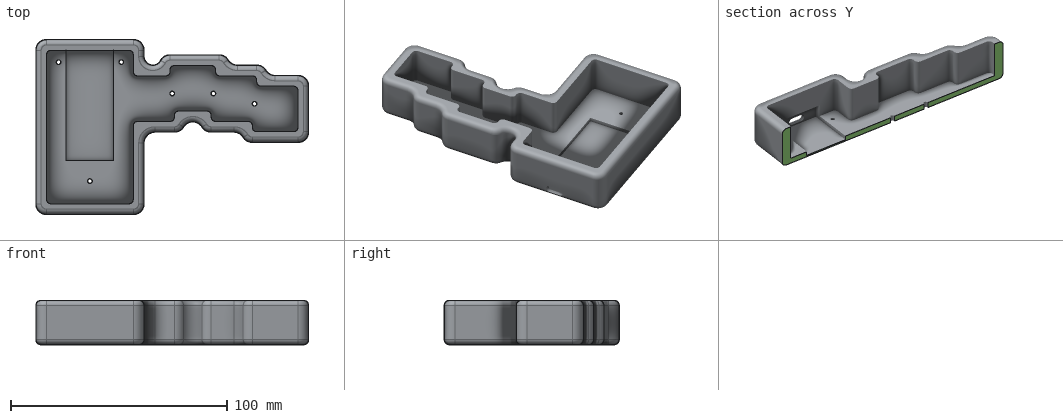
import cadquery as cq
import math

height = 20.6
wall = 5.0
floor_thickness = 3.0
edge_radius = 2.5
outer_radius = 5.0
cavity_radius = 2.0

body_width = 50.1
body_length = 81.0

pitch = 19.05
stagger = pitch / 4
clearance = 1.0
column_x = [63.1 + pitch * i for i in range(3)]
bay_bottom = 43.1
bay_top = bay_bottom + pitch + 2 * clearance
bay_middle = (bay_bottom + bay_top) / 2
total_length = column_x[2] + pitch + clearance + wall
grip_bottom = bay_bottom - wall
grip_top = bay_top + wall
raised_step_x = 84.75

hole_diameter = 2.0
body_hole_spacing = 29.0
back_hole_y = 70.5
front_hole_y = 15.5
body_middle = body_width / 2
body_holes = [
    (body_middle - body_hole_spacing / 2, back_hole_y),
    (body_middle + body_hole_spacing / 2, back_hole_y),
    (body_middle, front_hole_y),
]
grip_holes = [
    (column_x[0], bay_middle + stagger / 2),
    (column_x[1], bay_middle + stagger / 2),
    (column_x[2], bay_middle - stagger / 2),
]

board_width = 22.0
board_start = 25.0
board_floor = 1.0
notch_depth = 3.0
notch_top = 9.0
slot_length = 8.5
slot_height = 3.5
slot_z = 3.6

curve_rise = 2 * outer_radius - stagger
curve_run = math.sqrt((2 * outer_radius) ** 2 - curve_rise ** 2)


def s_curve(outline, start, run, rise):
    """Two equal tangent arcs from the start point, where the outline runs along X."""
    x, y = start
    return (
        outline
        .tangentArcPoint((x + run / 2, y + rise / 2), relative=False)
        .tangentArcPoint((x + run, y + rise), relative=False)
    )


def corner(outline, x, y, start, end):
    """Straight run up to the sharp corner (x, y), rounded there.

    start and end are unit directions from the corner to the two ends of the arc.
    """
    return (
        outline
        .lineTo(x + outer_radius * start[0], y + outer_radius * start[1])
        .tangentArcPoint((x + outer_radius * end[0], y + outer_radius * end[1]), relative=False)
    )


def thumb_hollow(outline):
    """Hollow between the body and the raised column, then the shoulder of that column."""
    shoulder_x = column_x[0] - clearance
    shoulder_y = bay_top + stagger
    dx = shoulder_x - body_width
    dy = shoulder_y - grip_top
    half_sum = dx + dy + outer_radius
    radius = half_sum - math.sqrt(half_sum ** 2 - (dx ** 2 + dy ** 2 - outer_radius ** 2))
    hollow_x = body_width + radius
    hollow_y = grip_top + radius
    share = radius / (radius + outer_radius)
    join = (
        hollow_x + share * (shoulder_x - hollow_x),
        hollow_y + share * (shoulder_y - hollow_y),
    )
    return (
        outline
        .lineTo(body_width, hollow_y)
        .tangentArcPoint((hollow_x, grip_top), relative=False)
        .tangentArcPoint(join, relative=False)
        .tangentArcPoint((shoulder_x, shoulder_y + outer_radius), relative=False)
    )


def outer_block():
    left, right, up, down = (-1, 0), (1, 0), (0, 1), (0, -1)
    raised_top = grip_top + stagger
    end_top = grip_top - stagger
    end_bottom = grip_bottom - stagger
    top_step_x = column_x[2] + clearance
    bottom_step_x = column_x[2] - clearance
    finger_x = (column_x[0] + column_x[1]) / 2
    finger_start_x = finger_x + curve_run

    outline = cq.Workplane("XY").moveTo(0, outer_radius)
    outline = corner(outline, 0, body_length, down, right)
    outline = corner(outline, body_width, body_length, left, down)
    outline = thumb_hollow(outline)
    outline = outline.lineTo(raised_step_x, raised_top)
    outline = s_curve(outline, (raised_step_x, raised_top), curve_run, -stagger)
    outline = outline.lineTo(top_step_x, grip_top)
    outline = s_curve(outline, (top_step_x, grip_top), curve_run, -stagger)
    outline = corner(outline, total_length, end_top, left, down)
    outline = corner(outline, total_length, end_bottom, up, left)
    outline = outline.lineTo(bottom_step_x, end_bottom)
    outline = s_curve(outline, (bottom_step_x, end_bottom), -curve_run, stagger)
    outline = outline.lineTo(finger_start_x, grip_bottom)
    outline = s_curve(outline, (finger_start_x, grip_bottom), -curve_run, stagger)
    outline = s_curve(outline, (finger_x, grip_bottom + stagger), -curve_run, -stagger)
    outline = corner(outline, body_width, grip_bottom, right, down)
    outline = corner(outline, body_width, 0, up, left)
    outline = corner(outline, 0, 0, right, up)
    return outline.close().extrude(height).faces("<Z or >Z").edges().fillet(edge_radius)


def cavity():
    x0, x1, x2 = column_x
    inner_right = body_width - wall
    inner_end = total_length - wall
    points = [
        (wall, wall),
        (wall, body_length - wall),
        (inner_right, body_length - wall),
        (inner_right, bay_top),
        (x0 - clearance, bay_top),
        (x0 - clearance, bay_top + stagger),
        (x1 + clearance, bay_top + stagger),
        (x1 + clearance, bay_top),
        (x2 + clearance, bay_top),
        (x2 + clearance, bay_top - stagger),
        (inner_end, bay_top - stagger),
        (inner_end, bay_bottom - stagger),
        (x2 - clearance, bay_bottom - stagger),
        (x2 - clearance, bay_bottom),
        (x1 - clearance, bay_bottom),
        (x1 - clearance, bay_bottom + stagger),
        (x0 + clearance, bay_bottom + stagger),
        (x0 + clearance, bay_bottom),
        (inner_right, bay_bottom),
        (inner_right, wall),
    ]
    return (
        cq.Workplane("XY").workplane(offset=floor_thickness).polyline(points).close()
        .extrude(height - floor_thickness).edges("|Z").fillet(cavity_radius)
    )


def board_recess():
    x = body_middle - board_width / 2
    inner_back = body_length - wall
    recess = cq.Workplane("XY").box(
        board_width, inner_back - board_start, floor_thickness - board_floor, centered=False
    ).translate((x, board_start, board_floor))
    notch = cq.Workplane("XY").box(
        board_width, notch_depth, notch_top - board_floor, centered=False
    ).translate((x, inner_back, board_floor))
    return recess.union(notch)


def connector_slot():
    return (
        cq.Workplane("XZ", origin=(body_middle, body_length, slot_z))
        .slot2D(slot_length, slot_height).extrude(wall)
    )


def mounting_holes():
    return (
        cq.Workplane("XY").pushPoints(body_holes + grip_holes)
        .circle(hole_diameter / 2).extrude(floor_thickness)
    )


result = outer_block().cut(cavity()).cut(board_recess()).cut(connector_slot()).cut(mounting_holes())